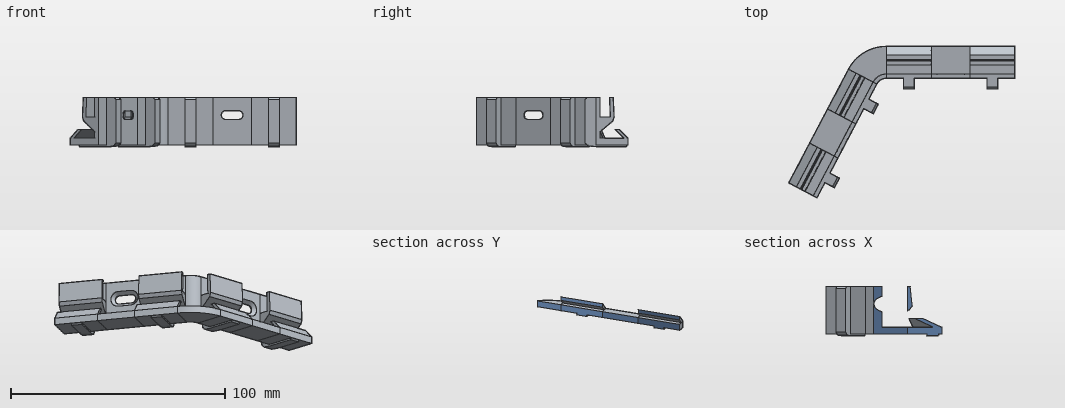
import cadquery as cq

arm_angle = 117.73
turn_angle = 180.0 - arm_angle
inner_radius = 5.0
channel_depth = 15.0
outer_radius = inner_radius + channel_depth
clip_length = 21.0
middle_length = 18.0

height = 22.3
floor_thickness = 3.2
wall_thickness = 2.0
wall_face = inner_radius + wall_thickness

lip_height = 4.1
lip_lean = 4.1
lip_width = 2.0

finger_root_z = 6.2
finger_heel = (12.9, 11.2)
finger_pocket_z = 13.1
finger_bulge = 13.55
finger_tip_outer = 13.1
finger_foot_inner = 11.65
finger_tip_inner = 11.3

strap_width = 5.1
strap_reach = 5.0
strap_drop = 0.82
strap_back = inner_radius - strap_reach
strap_chamfer = 1.0
strap_toe_inset = 0.3
strap_toe_chamfer = 0.6
strap_heel_rise = 0.95
strap_heel_chamfer = 1.4
strap_ramp_end = 5.5

slot_z = 14.0
slot_spacing = 6.0
slot_width = 4.0
sink_width = 7.2
sink_taper = 45.0
sink_depth = (sink_width - slot_width) / 2


def extrude_section(points, start, length):
    """Extrude an outline of (distance from bend axis, z) points along X."""
    return cq.Workplane("YZ", origin=(start, 0, 0)).polyline(points).close().extrude(length)


def trough_points():
    return [
        (inner_radius, 0),
        (outer_radius, 0),
        (outer_radius, floor_thickness),
        (wall_face, floor_thickness),
        (wall_face, height),
        (inner_radius, height),
    ]


def make_strap(start):
    strap_toe = outer_radius - strap_toe_inset
    points = [
        (strap_back, height - strap_chamfer),
        (strap_back + strap_chamfer, height),
        (inner_radius, height),
        (inner_radius, 0),
        (strap_toe, 0),
        (strap_toe - strap_toe_chamfer, -strap_drop),
        (strap_back + strap_ramp_end, -strap_drop),
        (strap_back + strap_heel_chamfer, strap_heel_rise - strap_heel_chamfer),
        (strap_back, strap_heel_rise),
    ]
    return extrude_section(points, start + (clip_length - strap_width) / 2, strap_width)


def make_clip(start):
    lip_top_z = floor_thickness + lip_height
    lip_crest = outer_radius - lip_lean
    points = [
        (inner_radius, 0),
        (outer_radius, 0),
        (outer_radius, floor_thickness),
        (lip_crest, lip_top_z),
        (lip_crest - lip_width, lip_top_z),
        (outer_radius - lip_width, floor_thickness),
        (wall_face, floor_thickness),
        (wall_face, finger_root_z),
        finger_heel,
        (finger_bulge, finger_pocket_z),
        (finger_tip_outer, height),
        (finger_tip_inner, height),
        (finger_foot_inner, finger_pocket_z),
        (wall_face, finger_pocket_z),
        (wall_face, height),
        (inner_radius, height),
    ]
    return extrude_section(points, start, clip_length).union(make_strap(start))


def make_middle(start):
    body = extrude_section(trough_points(), start, middle_length)
    slot = (
        cq.Workplane("XZ", origin=(start + middle_length / 2, wall_face, slot_z))
        .slot2D(slot_spacing + slot_width, slot_width)
        .extrude(wall_thickness)
    )
    sink = (
        cq.Workplane("XZ", origin=(start + middle_length / 2, wall_face, slot_z))
        .slot2D(slot_spacing + sink_width, sink_width)
        .extrude(sink_depth, taper=sink_taper)
    )
    return body.cut(slot).cut(sink)


def make_corner():
    return (
        cq.Workplane("YZ")
        .polyline(trough_points())
        .close()
        .revolve(turn_angle, (0, 0, 0), (0, 1, 0))
    )


def place_on_second_arm(body):
    """Mirror a first-arm body across the bend plane and swing it round the bend."""
    return body.mirror("YZ").rotate((0, 0, 0), (0, 0, 1), turn_angle)


first_arm = [
    make_clip(0),
    make_middle(clip_length),
    make_clip(clip_length + middle_length),
]
second_arm = [place_on_second_arm(body) for body in first_arm]
corner = make_corner()

result = cq.Compound.makeCompound([body.val() for body in first_arm + second_arm + [corner]])